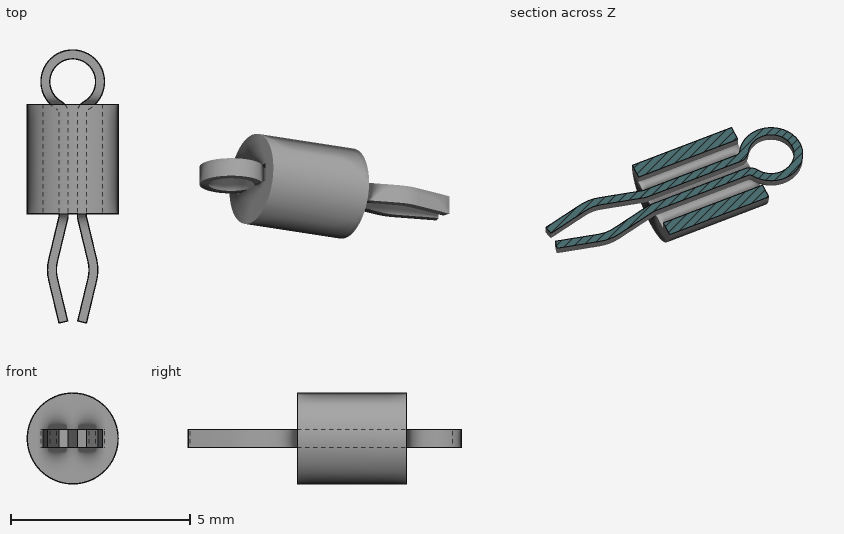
import math

import cadquery as cq

bead_diameter = 2.54
bead_length = 3.048
slot_width = 1.651

wire_thickness = 0.254
wire_height = 0.508
leg_gap = 0.254
eyelet_outer_radius = 0.889
eyelet_rise = 1.524
leg_reach = 3.048
leg_straight_reach = 0.0508
leg_splay = math.radians(13.5)

neck_inner_radius = 0.127
splay_inner_radius = 0.127
knee_outer_radius = 1.27

bead_front = -bead_length / 2
bead_back = bead_length / 2
leg_x = (leg_gap + wire_thickness) / 2
eyelet_radius = eyelet_outer_radius - wire_thickness / 2
neck_radius = neck_inner_radius + wire_thickness / 2
splay_radius = splay_inner_radius + wire_thickness / 2
knee_radius = knee_outer_radius - wire_thickness / 2

eyelet_y = bead_back + eyelet_rise - eyelet_outer_radius
neck_x = leg_x + neck_radius
neck_angle = math.asin(neck_x / (eyelet_radius + neck_radius))
neck_y = eyelet_y - (eyelet_radius + neck_radius) * math.cos(neck_angle)

slant_length = (
    leg_reach - leg_straight_reach - (splay_inner_radius + 2 * knee_outer_radius) * math.sin(leg_splay)
) / (2 * math.cos(leg_splay))
slant_dx = slant_length * math.sin(leg_splay)
slant_dy = slant_length * math.cos(leg_splay)


def arc_point(center, radius, angle):
    """Point on a circle, with the angle in radians measured from +X."""
    return (center[0] + radius * math.cos(angle), center[1] + radius * math.sin(angle))


def shifted(point, dx, dy):
    return (point[0] + dx, point[1] + dy)


def make_bead():
    bead = cq.Workplane("XZ", origin=(0, bead_back, 0)).circle(bead_diameter / 2).extrude(bead_length)
    slot = cq.Workplane("XY").box(slot_width, bead_length, wire_height)
    return bead.cut(slot)


def make_half_wire():
    """Right half of the wire, swept from the top of the eyelet to the leg tip."""
    eyelet_center = (0, eyelet_y)
    neck_center = (neck_x, neck_y)
    splay_center = (leg_x + splay_radius, bead_front - leg_straight_reach)

    eyelet_top = arc_point(eyelet_center, eyelet_radius, math.pi / 2)
    eyelet_upper_middle = arc_point(eyelet_center, eyelet_radius, math.pi / 4)
    eyelet_side = arc_point(eyelet_center, eyelet_radius, 0)
    eyelet_end_angle = neck_angle - math.pi / 2
    eyelet_lower_middle = arc_point(eyelet_center, eyelet_radius, eyelet_end_angle / 2)
    eyelet_end = arc_point(eyelet_center, eyelet_radius, eyelet_end_angle)

    neck_start_angle = math.pi / 2 + neck_angle
    neck_middle = arc_point(neck_center, neck_radius, (neck_start_angle + math.pi) / 2)
    neck_end = arc_point(neck_center, neck_radius, math.pi)

    splay_start = arc_point(splay_center, splay_radius, math.pi)
    splay_middle = arc_point(splay_center, splay_radius, math.pi + leg_splay / 2)
    splay_end = arc_point(splay_center, splay_radius, math.pi + leg_splay)

    knee_start = shifted(splay_end, slant_dx, -slant_dy)
    knee_center = arc_point(knee_start, knee_radius, math.pi + leg_splay)
    knee_middle = arc_point(knee_center, knee_radius, 0)
    knee_end = arc_point(knee_center, knee_radius, -leg_splay)
    tip = shifted(knee_end, -slant_dx, -slant_dy)

    path = (
        cq.Workplane("XY")
        .moveTo(*eyelet_top)
        .threePointArc(eyelet_upper_middle, eyelet_side)
        .threePointArc(eyelet_lower_middle, eyelet_end)
        .threePointArc(neck_middle, neck_end)
        .lineTo(*splay_start)
        .threePointArc(splay_middle, splay_end)
        .lineTo(*knee_start)
        .threePointArc(knee_middle, knee_end)
        .lineTo(*tip)
    )
    section = cq.Workplane("YZ").center(eyelet_top[1], 0).rect(wire_thickness, wire_height)
    return section.sweep(path)


half_wire = make_half_wire()
wire = half_wire.union(half_wire.mirror("YZ"))
result = make_bead().union(wire)